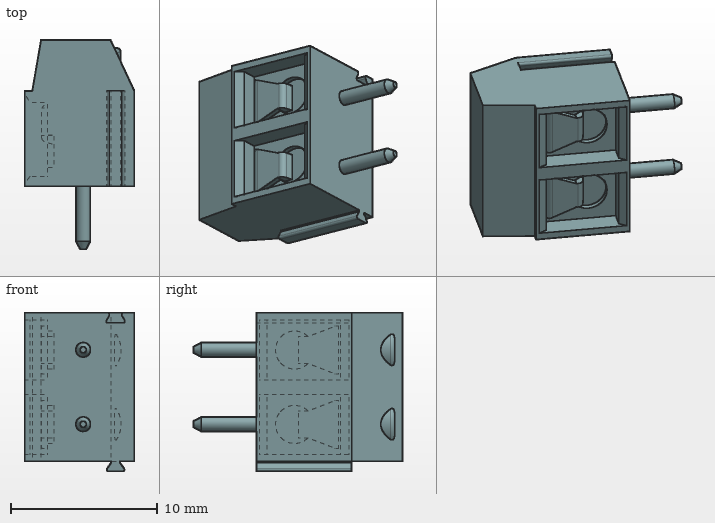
import cadquery as cq
import math


pole_count = 2
pitch = 5.08
height = pole_count * pitch
x_left = -4.0
x_right = 3.5
y_top = 10.0
y_shoulder = 6.52
shoulder_ledge = 0.52
top_inset_left = 1.12
top_inset_right = 1.63

pin_radius = 0.5
pin_length = 4.3
pin_tip_length = 0.55
pin_tip_radius = 0.21

window_y_low = 0.22
window_y_high = 6.31
window_height = 4.12
window_depth = 1.56
lip_depth = 0.36
lip_inset_low = 0.48
lip_inset_high = 0.58
wire_hole_y = 2.60
wire_hole_radius = 1.3
wire_hole_depth = 0.43

guard_rise = 0.42
guard_y_wide = 5.61
guard_y_taper_start = 5.37
guard_y_taper_end = 3.50
guard_y_tip = 2.88
guard_half_wide = 1.63
guard_half_narrow = 0.91
guard_bend_radius = 0.41
guard_bend_angle = 77.0

screw_radius = 1.9
screw_x_edge = 2.57
screw_y_top = 9.45
screw_y_bottom = 7.0
screw_edge_round = 0.29

dovetail_x = 2.215
dovetail_height = 0.69
dovetail_neck_half = 0.315
slot_flare_angle = 30.0
slot_mouth_round = 0.14
slot_floor_round = 0.10
rail_flare_angle = 35.0
rail_neck_height = 0.10
rail_edge_round = 0.13

window_x = x_left + window_depth
hole_x = window_x + wire_hole_depth
pole_heights = [(pole + 0.5) * pitch for pole in range(pole_count)]


def make_housing():
    outline = [
        (x_left, 0),
        (x_right, 0),
        (x_right, y_shoulder),
        (x_right - top_inset_right, y_top),
        (x_left + top_inset_left, y_top),
        (x_left + shoulder_ledge, y_shoulder),
        (x_left, y_shoulder),
    ]
    return cq.Workplane("XY").polyline(outline).close().extrude(height)


def make_window(z):
    """Rectangular pocket whose mouth narrows along Y over the lip depth."""
    lip_x = x_left + lip_depth
    outline = [
        (x_left, window_y_low),
        (lip_x, window_y_low + lip_inset_low),
        (window_x, window_y_low + lip_inset_low),
        (window_x, window_y_high - lip_inset_high),
        (lip_x, window_y_high - lip_inset_high),
        (x_left, window_y_high),
    ]
    bottom = cq.Workplane("XY", origin=(0, 0, z - window_height / 2))
    return bottom.polyline(outline).close().extrude(window_height)


def make_wire_hole(z):
    mouth = cq.Workplane("YZ", origin=(window_x, wire_hole_y, z))
    return mouth.circle(wire_hole_radius).extrude(wire_hole_depth)


def make_guard(z):
    """Tongue with rounded ends, trimmed to its tapering width."""
    face_x = window_x - guard_rise
    half_turn = math.sqrt(0.5)
    roll_mid = (window_x - guard_rise * half_turn, guard_y_wide - guard_rise * (1 - half_turn))
    bend_angle = math.radians(guard_bend_angle)
    bend_center_x = face_x + guard_bend_radius
    bend_end_x = bend_center_x - guard_bend_radius * math.cos(bend_angle)
    leg_y = guard_y_tip + (hole_x - bend_end_x) / math.tan(bend_angle)
    bend_start_y = leg_y + guard_bend_radius * math.sin(bend_angle)
    bend_mid = (
        bend_center_x - guard_bend_radius * math.cos(bend_angle / 2),
        bend_start_y - guard_bend_radius * math.sin(bend_angle / 2),
    )
    profile = (
        cq.Workplane("XY", origin=(0, 0, z))
        .moveTo(hole_x, guard_y_wide)
        .lineTo(window_x, guard_y_wide)
        .threePointArc(roll_mid, (face_x, guard_y_wide - guard_rise))
        .lineTo(face_x, bend_start_y)
        .threePointArc(bend_mid, (bend_end_x, leg_y))
        .lineTo(hole_x, guard_y_tip)
        .close()
        .extrude(guard_half_wide, both=True)
    )
    taper = [
        (guard_y_wide, guard_half_wide),
        (guard_y_taper_start, guard_half_wide),
        (guard_y_taper_end, guard_half_narrow),
        (guard_y_tip, guard_half_narrow),
    ]
    mirrored_taper = [(y, -half_width) for y, half_width in reversed(taper)]
    width = (
        cq.Workplane("YZ", origin=(face_x, 0, z))
        .polyline(taper + mirrored_taper)
        .close()
        .extrude(guard_rise + wire_hole_depth)
    )
    return profile.intersect(width)


def make_pin(z):
    base = cq.Workplane("XZ", origin=(0, 0, z))
    pin = base.circle(pin_radius).extrude(pin_length)
    return pin.faces("<Y").chamfer(pin_tip_length, pin_radius - pin_tip_radius)


def make_screw(z):
    foot = cq.Workplane("XZ", origin=(screw_x_edge - screw_radius, screw_y_bottom, z))
    screw = foot.circle(screw_radius).extrude(screw_y_bottom - screw_y_top)
    return screw.faces(">Y").edges().fillet(screw_edge_round)


def make_slot():
    """Dovetail groove in the top, with a rounded mouth and rounded floor corners."""
    flare = dovetail_height * math.tan(math.radians(slot_flare_angle))
    floor_half = dovetail_neck_half + flare
    floor_z = height - dovetail_height
    groove = (
        cq.Workplane("XZ")
        .polyline([
            (dovetail_x - dovetail_neck_half, height),
            (dovetail_x - floor_half, floor_z),
            (dovetail_x + floor_half, floor_z),
            (dovetail_x + dovetail_neck_half, height),
        ])
        .close()
        .extrude(-y_shoulder)
    )
    return groove.faces("<Z").edges("|Y").fillet(slot_floor_round)


def make_slot_mouth():
    """Extra material removed where the groove's upper edges are rounded over."""
    angle = math.radians(slot_flare_angle)
    half_edge_angle = (math.pi / 2 - angle) / 2
    edge_reach = slot_mouth_round / math.tan(half_edge_angle)
    center_offset = dovetail_neck_half + edge_reach
    center_z = height - slot_mouth_round
    wall_offset = center_offset - slot_mouth_round * math.cos(angle)
    wall_z = center_z - slot_mouth_round * math.sin(angle)
    arc_offset = center_offset - slot_mouth_round * math.cos(half_edge_angle)
    arc_z = center_z + slot_mouth_round * math.sin(half_edge_angle)
    return (
        cq.Workplane("XZ")
        .moveTo(dovetail_x - center_offset, height)
        .threePointArc((dovetail_x - arc_offset, arc_z), (dovetail_x - wall_offset, wall_z))
        .lineTo(dovetail_x + wall_offset, wall_z)
        .threePointArc((dovetail_x + arc_offset, arc_z), (dovetail_x + center_offset, height))
        .close()
        .extrude(-y_shoulder)
    )


def make_rail():
    """Dovetail rail under the housing that fits a neighbour's groove."""
    flare_height = dovetail_height - rail_neck_height
    foot_half = dovetail_neck_half + flare_height * math.tan(math.radians(rail_flare_angle))
    rail = (
        cq.Workplane("XZ")
        .polyline([
            (dovetail_x - dovetail_neck_half, 0),
            (dovetail_x - dovetail_neck_half, -rail_neck_height),
            (dovetail_x - foot_half, -dovetail_height),
            (dovetail_x + foot_half, -dovetail_height),
            (dovetail_x + dovetail_neck_half, -rail_neck_height),
            (dovetail_x + dovetail_neck_half, 0),
        ])
        .close()
        .extrude(-y_shoulder)
    )
    return rail.faces("<Z").edges("|Y").fillet(rail_edge_round)


result = make_housing().cut(make_slot()).cut(make_slot_mouth()).union(make_rail())
for pole_z in pole_heights:
    result = result.cut(make_window(pole_z)).cut(make_wire_hole(pole_z))
    result = result.union(make_guard(pole_z)).union(make_pin(pole_z)).union(make_screw(pole_z))